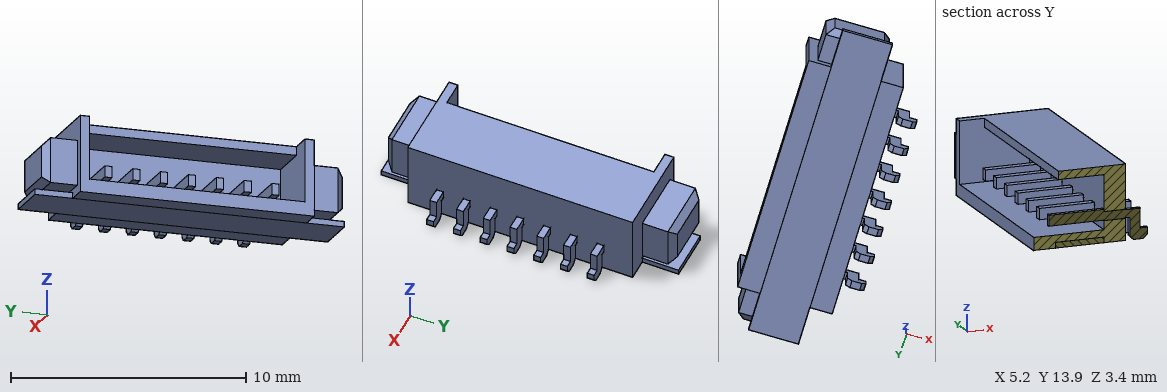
import cadquery as cq

total_depth = 5.2
total_width = 13.9

housing_depth = 4.2
housing_width = 10.51
housing_height = 3.4
wall = 0.42
roof_thickness = 0.39
floor_height = 0.6
cavity_depth = 3.2
roof_setback = 1.13

ear_front = 0.4
ear_depth = 2.81
ear_bottom = 0.4
ear_height = 2.0
ear_span = 13.51
ear_chamfer = 0.3

strap_front = 1.0
strap_back = ear_front + ear_depth
strap_thickness = 0.25

pin_count = 7
pin_pitch = 1.25
pin_width = 0.32
pin_front = 0.7
pin_bottom = 1.0
blade_height = 0.5
tail_height = 0.38
leg_gap = 0.18
leg_thickness = 0.5
foot_height = 0.5
foot_chamfer = 0.2


def block(x_start, x_end, width, z_start, z_end):
    """Box centred on Y = 0 between the given X and Z limits."""
    size = (x_end - x_start, width, z_end - z_start)
    return cq.Workplane("XY").box(*size, centered=(False, True, False)).translate((x_start, 0, z_start))


def make_ears():
    """Bar through the housing whose chamfered ends form both ears."""
    bar = block(ear_front, ear_front + ear_depth, ear_span, ear_bottom, ear_bottom + ear_height)
    return bar.faces("<Y or >Y").chamfer(ear_chamfer)


def make_strap():
    """Flat strap along the underside, sticking out past both ears."""
    return block(strap_front, strap_back, total_width, 0, strap_thickness)


def make_pin(y_centre):
    """Straight blade in the cavity, stepping down to a thinner tail that bends to a foot."""
    blade_top = pin_bottom + blade_height
    tail_top = pin_bottom + tail_height
    leg_front = housing_depth + leg_gap
    leg_back = leg_front + leg_thickness
    profile = [
        (pin_front, pin_bottom),
        (pin_front, blade_top),
        (cavity_depth, blade_top),
        (cavity_depth, tail_top),
        (leg_back, tail_top),
        (leg_back, foot_height),
        (total_depth, foot_height),
        (total_depth, foot_chamfer),
        (total_depth - foot_chamfer, 0),
        (leg_front + foot_chamfer, 0),
        (leg_front, foot_chamfer),
        (leg_front, pin_bottom),
    ]
    pin = cq.Workplane("XZ").polyline(profile).close().extrude(pin_width / 2, both=True)
    return pin.translate((0, y_centre, 0))


def make_housing(strap, pins):
    """Shell open at the front, with ears, a strap recess and a hole for each pin."""
    shell = block(0, housing_depth, housing_width, 0, housing_height).union(make_ears())

    cavity_width = housing_width - 2 * wall
    cavity_top = housing_height - roof_thickness
    cavity = block(0, cavity_depth, cavity_width, floor_height, cavity_top)
    roof_cutout = block(0, roof_setback, cavity_width, floor_height, housing_height)
    shell = shell.cut(cavity).cut(roof_cutout)

    shell = shell.cut(strap)
    for pin in pins:
        shell = shell.cut(pin)
    return shell


strap = make_strap()
pins = []
for index in range(pin_count):
    y_centre = (index - (pin_count - 1) / 2) * pin_pitch
    pins.append(make_pin(y_centre))
housing = make_housing(strap, pins)

result = cq.Compound.makeCompound([housing.val(), strap.val(), *[pin.val() for pin in pins]])